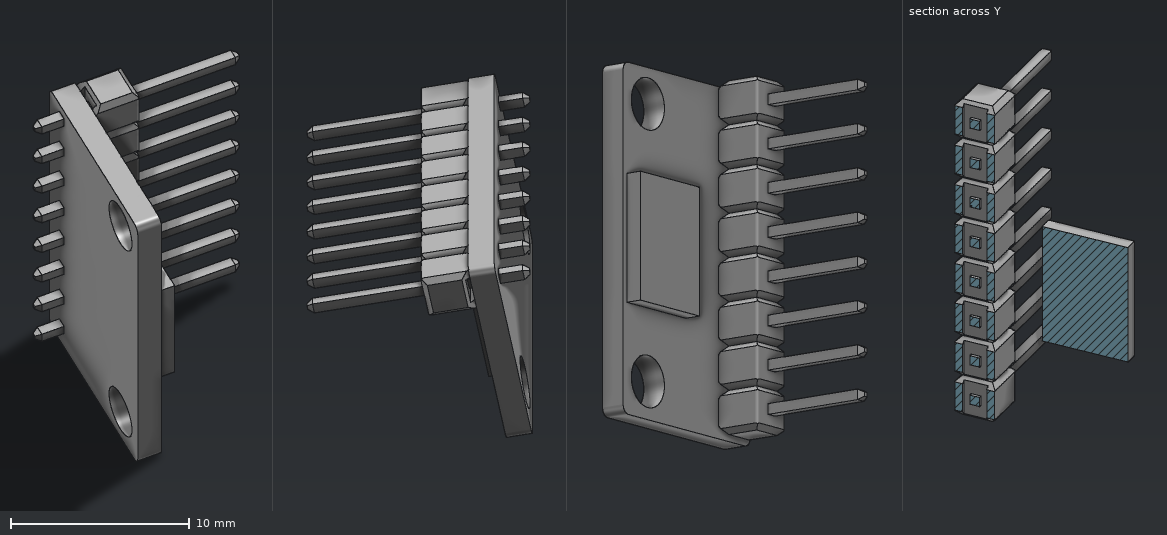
import cadquery as cq


board_width = 11.57
board_height = 20.22
board_thickness = 1.48
corner_radius = 0.5

hole_diameter = 3.0
hole_x = 9.3
lower_hole_z = 2.2
hole_spacing = 15.93

pin_count = 8
pin_row_span = 17.78
pitch = pin_row_span / (pin_count - 1)
header_top = 20.55
header_x = 1.62
block_width = 2.53
block_depth = 2.8
side_bevel = 0.33
board_bevel = 0.5
block_edge_radius = 0.18
groove_width = 1.5
groove_depth = 0.3

pin_size = 0.62
pin_tip_size = 0.25
pin_taper = 0.35
pin_front_reach = 1.73
pin_total_length = 12.7

pad_width = 1.03
pad_height = 0.5
pad_thickness = 0.06

chip_left = 5.85
chip_width = 5.38
chip_height = 7.4
chip_thickness = 0.97

pin_heights = [header_top - pitch * (i + 0.5) for i in range(pin_count)]


def box(x, y, z, x_size, y_size, z_size):
    """Box centred on x and z, running from y toward +Y."""
    return cq.Workplane("XY").box(x_size, y_size, z_size).translate((x, y + y_size / 2, z))


def back_plane(y):
    """XZ workplane at the given Y whose normal points toward +Y (local x is -X)."""
    return cq.Workplane(cq.Plane(origin=(0, y, 0), xDir=(-1, 0, 0), normal=(0, 1, 0)))


def make_board():
    board = box(board_width / 2, 0, board_height / 2, board_width, board_thickness, board_height)
    board = board.edges("|Y").fillet(corner_radius)
    holes = (
        back_plane(0)
        .pushPoints([(-hole_x, lower_hole_z), (-hole_x, lower_hole_z + hole_spacing)])
        .circle(hole_diameter / 2)
        .extrude(board_thickness)
    )
    return board.cut(holes)


def make_block(z):
    """Header block with bevelled upper and lower ends and a groove against the board."""
    half_width = block_width / 2
    half_pitch = pitch / 2
    near = board_thickness
    far = board_thickness + block_depth

    body = box(0, near, 0, block_width, block_depth, pitch)
    body = body.edges("|Z and >Y").fillet(block_edge_radius)
    across = (
        back_plane(near)
        .moveTo(half_width - side_bevel, half_pitch)
        .lineTo(half_width, half_pitch - side_bevel)
        .lineTo(half_width, side_bevel - half_pitch)
        .lineTo(half_width - side_bevel, -half_pitch)
        .lineTo(side_bevel - half_width, -half_pitch)
        .lineTo(-half_width, side_bevel - half_pitch)
        .lineTo(-half_width, half_pitch - side_bevel)
        .lineTo(side_bevel - half_width, half_pitch)
        .close()
        .extrude(block_depth)
    )
    along = (
        cq.Workplane("YZ")
        .moveTo(near + board_bevel, half_pitch)
        .lineTo(near, half_pitch - board_bevel)
        .lineTo(near, board_bevel - half_pitch)
        .lineTo(near + board_bevel, -half_pitch)
        .lineTo(far - side_bevel, -half_pitch)
        .lineTo(far, side_bevel - half_pitch)
        .lineTo(far, half_pitch - side_bevel)
        .lineTo(far - side_bevel, half_pitch)
        .close()
        .extrude(half_width, both=True)
    )
    groove = box(0, near, 0, groove_width, groove_depth, pitch)
    return body.intersect(across).intersect(along).cut(groove).translate((header_x, 0, z))


def make_pin(z):
    """Square pin through the board, tapered at both ends."""
    shaft_length = pin_total_length - 2 * pin_taper
    pin = box(0, pin_taper - pin_front_reach, 0, pin_size, shaft_length, pin_size)
    for end in ("<Y", ">Y"):
        tip = (
            pin.faces(end)
            .workplane(centerOption="CenterOfMass")
            .rect(pin_size, pin_size)
            .workplane(offset=pin_taper)
            .rect(pin_tip_size, pin_tip_size)
            .loft(combine=False)
        )
        pin = pin.union(tip)
    return pin.translate((header_x, 0, z))


def make_pad(z):
    return box(header_x, board_thickness, z, pad_width, pad_thickness, pad_height)


def make_chip():
    chip_x = chip_left + chip_width / 2
    return box(chip_x, board_thickness, board_height / 2, chip_width, chip_thickness, chip_height)


result = make_board().union(make_chip())
for pin_z in pin_heights:
    result = result.union(make_block(pin_z)).union(make_pad(pin_z)).union(make_pin(pin_z))